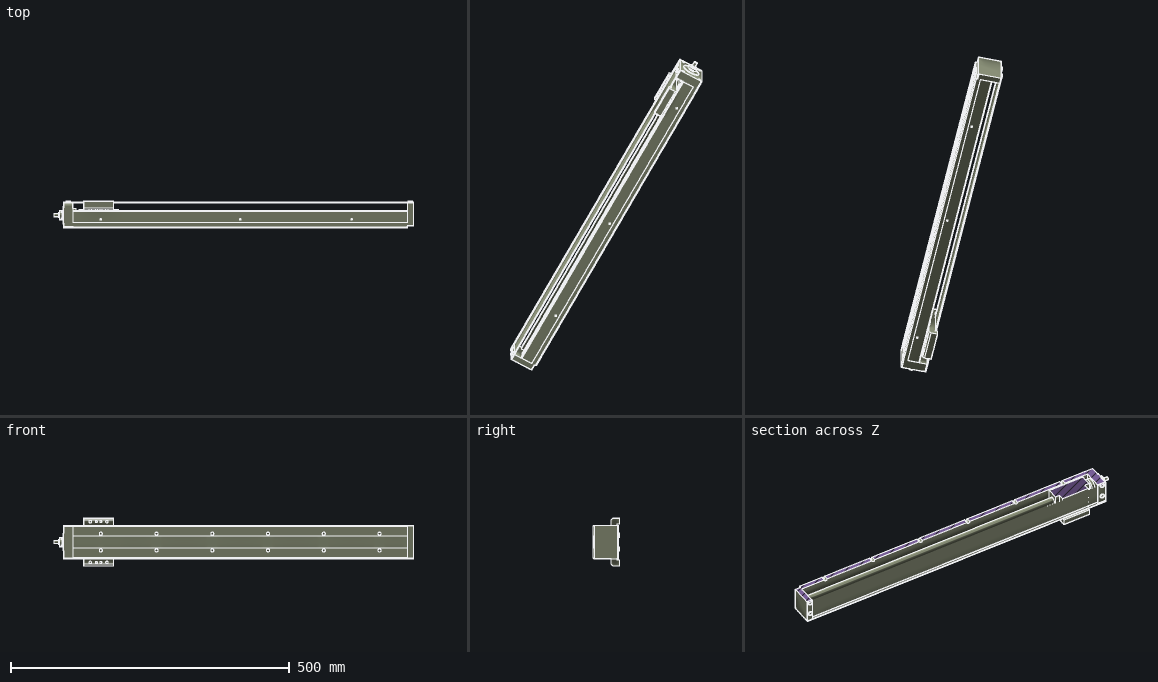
import cadquery as cq


rail_length = 600.0
rail_half_width = 30.0
rail_height = 31.0
rail_foot_height = 9.5
upper_wall_setback = 0.5
channel_half_width = 20.0
channel_floor = rail_foot_height
rail_top_chamfer = 1.5
foot_chamfer = 2.0
relief_half_width = 10.5
relief_depth = 2.0

mount_hole_diameter = 5.5
mount_hole_half_spacing = 15.0
mount_hole_pitch = 100.0
mount_hole_count = 6
first_hole_x = 50.0
side_hole_diameter = 2.6
side_hole_y = 15.5
side_hole_depth = 5.0
side_hole_xs = [50.0, 300.0, 500.0]

housing_length = 16.5
housing_setback = 0.3
block_top = 44.7
housing_chamfer_start = 40.0
housing_chamfer_width = 1.5
flange_diameter = 31.0
flange_thickness = 1.2
bumper_diameter = 24.5
bumper_length = 5.5
end_plate_length = 11.0
end_plate_bottom = 3.4
end_plate_chamfer = 1.0
face_screw_diameter = 3.6
face_screw_depth = 4.0
face_screw_ys = [6.0, 38.6]
face_screw_half_spacing = 25.5

screw_axis_y = 23.0
screw_diameter = 12.0
journal_diameter = 9.0
tip_diameter = 6.0
shaft_tip_x = -34.0
journal_start_x = -26.0
nut_start_x = -24.0
nut_length = 4.0
nut_diameter = 17.0
end_bearing_depth = 6.0

cover_thickness = 1.5
cover_half_width = 30.0
cover_recess_half_width = 25.0
cover_recess_depth = 0.5
cover_top = block_top + cover_thickness
head_diameter = 8.0
head_height = 2.0
head_half_spacing = 12.5
carriage_top = cover_top + head_height

carriage_center_x = 46.0
carriage_length = 54.0
carriage_half_width = 43.0
carriage_bottom = 32.5
carriage_chamfer = 3.5
slot_half_width = 32.0
slot_floor = 43.7
slider_length = 71.0
slider_half_width = 19.0
slider_top = 33.0
slider_bottom = 11.0
pad_hole_z = 36.5
thread_diameter = 4.4
thread_half_spacing = 15.0
pin_diameter = 3.6
pin_half_spacing = 4.0
pad_hole_depth = 12.0


def box(x_range, y_range, z_range):
    size = [high - low for low, high in (x_range, y_range, z_range)]
    corner = (x_range[0], y_range[0], z_range[0])
    return cq.Workplane("XY").box(*size, centered=False).translate(corner)


def both_sides(half_width):
    return (-half_width, half_width)


def rod_along_x(diameter, start_x, end_x, y=screw_axis_y, z=0.0):
    plane = cq.Plane(origin=(start_x, y, z), xDir=(0, 1, 0), normal=(1, 0, 0))
    return cq.Workplane(plane).circle(diameter / 2).extrude(end_x - start_x)


def rod_along_y(diameter, x, z, start_y, end_y):
    plane = cq.Plane(origin=(x, start_y, z), xDir=(1, 0, 0), normal=(0, 1, 0))
    return cq.Workplane(plane).circle(diameter / 2).extrude(end_y - start_y)


def rod_along_z(diameter, x, y, start_z, end_z):
    plane = cq.Plane(origin=(x, y, start_z), xDir=(1, 0, 0), normal=(0, 0, 1))
    return cq.Workplane(plane).circle(diameter / 2).extrude(end_z - start_z)


def make_rail():
    wall = rail_half_width - upper_wall_setback
    foot = box((0, rail_length), (0, rail_foot_height), both_sides(rail_half_width))
    foot = foot.faces("<Y").edges("|X").chamfer(foot_chamfer)
    walls = box((0, rail_length), (rail_foot_height, rail_height), both_sides(wall))
    walls = walls.faces(">Y").edges("|X").chamfer(rail_top_chamfer)
    rail = foot.union(walls)
    channel_z = both_sides(channel_half_width)
    rail = rail.cut(box((0, rail_length), (channel_floor, rail_height), channel_z))
    rail = rail.cut(box((0, rail_length), (0, relief_depth), both_sides(relief_half_width)))

    for index in range(mount_hole_count):
        x = first_hole_x + index * mount_hole_pitch
        for z in both_sides(mount_hole_half_spacing):
            rail = rail.cut(rod_along_y(mount_hole_diameter, x, z, 0, channel_floor))
    for x in side_hole_xs:
        rail = rail.cut(rod_along_z(side_hole_diameter, x, side_hole_y, wall - side_hole_depth, wall))
        rail = rail.cut(rod_along_z(side_hole_diameter, x, side_hole_y, -wall, side_hole_depth - wall))
    return rail


def make_housing():
    housing = box((-housing_length, 0), (housing_setback, block_top), both_sides(rail_half_width))
    bottom_edges = housing.faces("<Y").edges("|X")
    housing = bottom_edges.chamfer(foot_chamfer - housing_setback, foot_chamfer)
    top_edges = housing.faces(">Y").edges("|X")
    housing = top_edges.chamfer(block_top - housing_chamfer_start, housing_chamfer_width)
    for y in face_screw_ys:
        for z in both_sides(face_screw_half_spacing):
            hole = rod_along_x(face_screw_diameter, -housing_length, face_screw_depth - housing_length, y, z)
            housing = housing.cut(hole)
    flange_face = -housing_length - flange_thickness
    housing = housing.union(rod_along_x(flange_diameter, flange_face, -housing_length))
    return housing.union(rod_along_x(bumper_diameter, 0, bumper_length))


def make_end_plate():
    x_range = (rail_length, rail_length + end_plate_length)
    plate = box(x_range, (end_plate_bottom, block_top), both_sides(rail_half_width))
    return plate.faces("<Y").edges("|X").chamfer(end_plate_chamfer)


def make_shaft():
    tip = rod_along_x(tip_diameter, shaft_tip_x, journal_start_x)
    journal = rod_along_x(journal_diameter, journal_start_x, 0)
    nut = rod_along_x(nut_diameter, nut_start_x, nut_start_x + nut_length)
    screw = rod_along_x(screw_diameter, 0, rail_length + end_bearing_depth)
    return tip.union(journal).union(nut).union(screw)


def make_frame(shaft):
    return make_rail().union(make_housing()).union(make_end_plate()).cut(shaft)


def make_cover():
    x_range = (-housing_length, rail_length + end_plate_length)
    cover = box(x_range, (block_top, cover_top), both_sides(cover_half_width))
    recess_y_range = (block_top, block_top + cover_recess_depth)
    cover = cover.cut(box((0, rail_length), recess_y_range, both_sides(cover_recess_half_width)))
    for x in (-housing_length / 2, rail_length + end_plate_length / 2):
        for z in both_sides(head_half_spacing):
            cover = cover.union(rod_along_y(head_diameter, x, z, cover_top, carriage_top))
    return cover


def make_carriage():
    x_range = (carriage_center_x - carriage_length / 2, carriage_center_x + carriage_length / 2)
    slider_x_range = (carriage_center_x - slider_length / 2, carriage_center_x + slider_length / 2)
    table = box(x_range, (carriage_bottom, carriage_top), both_sides(carriage_half_width))
    table = table.faces("<Y").edges("|X").chamfer(carriage_chamfer)
    table = table.cut(box(x_range, (slot_floor, carriage_top), both_sides(slot_half_width)))
    hole_pairs = [(thread_diameter, thread_half_spacing), (pin_diameter, pin_half_spacing)]
    hole_end = carriage_bottom + pad_hole_depth
    for z in both_sides(pad_hole_z):
        for diameter, half_spacing in hole_pairs:
            for offset in both_sides(half_spacing):
                x = carriage_center_x + offset
                table = table.cut(rod_along_y(diameter, x, z, carriage_bottom, hole_end))
    slider = box(slider_x_range, (slider_bottom, slider_top), both_sides(slider_half_width))
    return table.union(slider).cut(rod_along_x(screw_diameter, *slider_x_range))


shaft = make_shaft()
frame = make_frame(shaft)
cover = make_cover()
carriage = make_carriage()

result = cq.Compound.makeCompound([frame.val(), cover.val(), carriage.val(), shaft.val()])